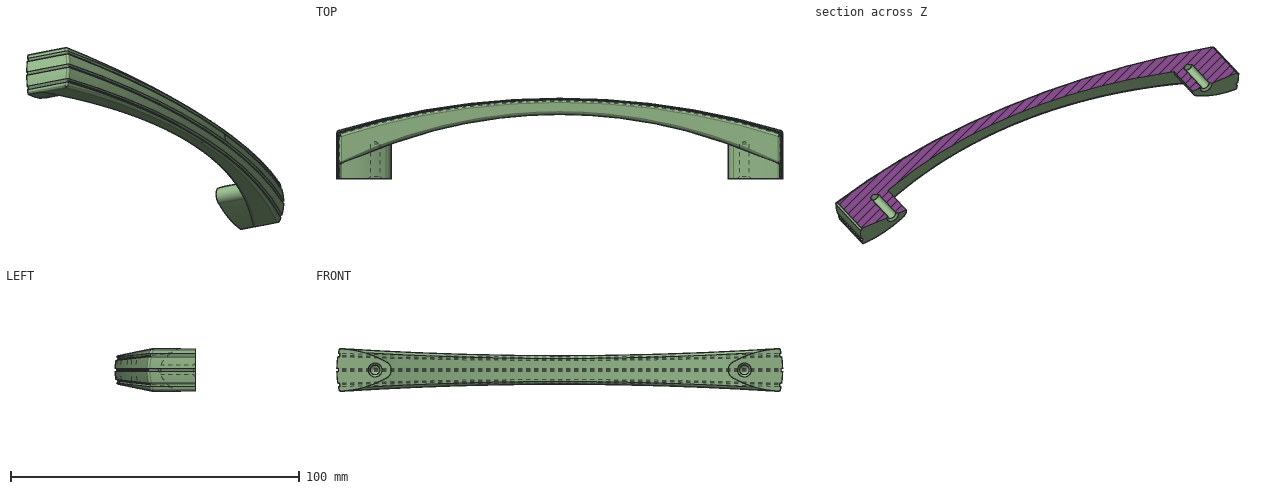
import cadquery as cq
import math

LENGTH = 154.64
DEPTH = 27.97
END_HEIGHT = 14.89
MID_HEIGHT = 10.0
FULL_HEIGHT_X = 75.7

OUTER_END_Y = 16.6
MID_THICKNESS = 5.7
INNER_END_Y = 4.0
BOW_CROWN_RADIUS = 18.0
END_CROWN_RADIUS = 30.0
EDGE_RADIUS = 1.0
END_CORNER_RADIUS = 0.8

GROOVE_WIDTH = 1.2
GROOVE_DEPTH = 0.6
GROOVE_BOTTOM_RADIUS = 0.5
SIDE_GROOVE_END_Z = 5.2
SIDE_GROOVE_MID_Z = 3.9

FOOT_NOSE_X = 58.4
FOOT_TANGENT_X = 60.3
FOOT_TANGENT_Z = 2.9
FOOT_FLANK_X = 67.0
FOOT_FLANK_Z = 5.8
FOOT_ROOT_X = 75.6
FOOT_ROOT_Z = 7.3

HOLE_SPACING = 128.0
HOLE_DIAMETER = 3.3
HOLE_MOUTH_DIAMETER = 4.8
HOLE_DEPTH = 12.0
DRILL_POINT_ANGLE = 118.0

MARGIN = 5.0

HALF_LENGTH = LENGTH / 2
INNER_MID_Y = DEPTH - MID_THICKNESS


def arc_radius(half_chord, rise):
    """Radius of an arc with the given half chord and rise."""
    return (half_chord**2 + rise**2) / (2 * rise)


def arc_drop(radius, half_chord):
    """Distance an arc falls away from its apex over the half chord."""
    return radius - math.sqrt(radius**2 - half_chord**2)


def along_y(outline):
    """Extrude an outline drawn in X, Z from the foot plane past the outer face."""
    return outline.extrude(-(DEPTH + MARGIN))


def crowned_bow(inset):
    """Drum around the bow's axis with a crowned rim, giving the outer face."""
    radius = arc_radius(HALF_LENGTH, DEPTH - OUTER_END_Y)
    rim = radius - inset
    half_height = END_HEIGHT / 2 + MARGIN
    crown_drop = arc_drop(BOW_CROWN_RADIUS, half_height)
    profile = (
        cq.Workplane("XZ")
        .moveTo(0, -half_height)
        .lineTo(rim - crown_drop, -half_height)
        .threePointArc((rim, 0), (rim - crown_drop, half_height))
        .lineTo(0, half_height)
        .close()
    )
    drum = profile.revolve(360, (0, 0, 0), (0, 1, 0))
    return drum.rotate((0, 0, 0), (0, 0, 1), -90).translate((0, DEPTH - radius, 0))


def crowned_ends(inset):
    """Block along Y whose two end faces are crowned."""
    tip = HALF_LENGTH - inset
    half_height = END_HEIGHT / 2 + MARGIN
    crown_drop = arc_drop(END_CROWN_RADIUS, half_height)
    corner = tip - crown_drop
    outline = (
        cq.Workplane("XZ")
        .moveTo(-corner, -half_height)
        .lineTo(corner, -half_height)
        .threePointArc((tip, 0), (corner, half_height))
        .lineTo(-corner, half_height)
        .threePointArc((-tip, 0), (-corner, -half_height))
        .close()
    )
    return along_y(outline)


def is_end_corner(edge):
    """True for the two edges where the end faces meet the outer face."""
    middle = edge.positionAt(0.5)
    return abs(middle.z) < MARGIN and middle.y > INNER_END_Y


def outer_envelope(inset=0.0):
    """Everything behind the outer face and between the end faces, their meeting edges rounded."""
    shape = crowned_ends(inset).intersect(crowned_bow(inset))
    corners = [edge for edge in shape.edges().vals() if is_end_corner(edge)]
    return shape.newObject(corners).fillet(EDGE_RADIUS - inset)


def waisted_slab():
    """Top and bottom faces, waisted toward the middle and running past both ends."""
    end_z = END_HEIGHT / 2
    mid_z = MID_HEIGHT / 2
    reach = HALF_LENGTH + MARGIN
    radius = arc_radius(FULL_HEIGHT_X, end_z - mid_z)
    reach_z = mid_z + arc_drop(radius, reach)
    outline = (
        cq.Workplane("XZ")
        .moveTo(-reach, -reach_z)
        .threePointArc((0, -mid_z), (reach, -reach_z))
        .lineTo(reach, reach_z)
        .threePointArc((0, mid_z), (-reach, reach_z))
        .close()
    )
    return along_y(outline)


def round_long_edges(shape, y):
    """Round the pair of lengthwise edges that pass nearest to Y = y at mid length."""
    edges = []
    for z in (-MID_HEIGHT / 2, MID_HEIGHT / 2):
        vertex = cq.Vertex.makeVertex(0, y, z)
        edges.append(min(shape.edges().vals(), key=vertex.distance))
    return shape.newObject(edges).fillet(EDGE_RADIUS)


def rounded_ends():
    """Waisted block with crowned ends and rounded end corners."""
    return crowned_ends(0).intersect(waisted_slab()).edges("|Y").fillet(END_CORNER_RADIUS)


def right_half_space():
    """Box that keeps the +X side of the part."""
    size = LENGTH + 2 * MARGIN
    return cq.Workplane("XY").box(size, size, size, centered=(False, True, True))


def rounded_bow():
    """Waisted solid behind the crowned outer face, with rounded outer edges."""
    crown_drop = arc_drop(BOW_CROWN_RADIUS, MID_HEIGHT / 2)
    return round_long_edges(waisted_slab().intersect(crowned_bow(0)), DEPTH - crown_drop)


def bar(bow):
    """Curved bar: the bow with the space behind the inner arc removed."""
    radius = arc_radius(HALF_LENGTH, INNER_MID_Y - INNER_END_Y)
    hollow = (
        cq.Workplane("XY")
        .center(0, INNER_MID_Y - radius)
        .circle(radius)
        .extrude(END_HEIGHT, both=True)
    )
    hollow = hollow.rotate((0, INNER_MID_Y - radius, 0), (0, INNER_MID_Y - radius, 1), -90)
    return round_long_edges(bow.cut(hollow), INNER_MID_Y)


def foot(bow):
    """Tapered foot at the +X end, reaching up into the bar."""
    outside_x = HALF_LENGTH + MARGIN
    outline = (
        cq.Workplane("XZ")
        .moveTo(outside_x, -FOOT_ROOT_Z)
        .lineTo(FOOT_ROOT_X, -FOOT_ROOT_Z)
        .threePointArc((FOOT_FLANK_X, -FOOT_FLANK_Z), (FOOT_TANGENT_X, -FOOT_TANGENT_Z))
        .threePointArc((FOOT_NOSE_X, 0), (FOOT_TANGENT_X, FOOT_TANGENT_Z))
        .threePointArc((FOOT_FLANK_X, FOOT_FLANK_Z), (FOOT_ROOT_X, FOOT_ROOT_Z))
        .lineTo(outside_x, FOOT_ROOT_Z)
        .close()
    )
    return along_y(outline).intersect(bow)


def groove_curtain(end_z, mid_z):
    """Thin wall along Y that follows one groove from end to end."""
    reach = HALF_LENGTH + MARGIN
    end_low, end_high = end_z - GROOVE_WIDTH / 2, end_z + GROOVE_WIDTH / 2
    mid_low, mid_high = mid_z - GROOVE_WIDTH / 2, mid_z + GROOVE_WIDTH / 2
    outline = cq.Workplane("XZ").moveTo(-reach, end_low)
    if end_z == mid_z:
        outline = outline.lineTo(reach, end_low).lineTo(reach, end_high)
    else:
        outline = (
            outline.lineTo(-HALF_LENGTH, end_low)
            .threePointArc((0, mid_low), (HALF_LENGTH, end_low))
            .lineTo(reach, end_low)
            .lineTo(reach, end_high)
            .lineTo(HALF_LENGTH, end_high)
            .threePointArc((0, mid_high), (-HALF_LENGTH, end_high))
        )
    return along_y(outline.lineTo(-reach, end_high).close())


def groove(core, end_z, mid_z):
    """Cutter for one groove, with a rounded bottom that follows the core."""
    cutter = groove_curtain(end_z, mid_z).cut(core)
    bottom_edges = []
    for edge in cutter.edges().vals():
        middle = edge.positionAt(0.5)
        crosses = abs(edge.startPoint().z - edge.endPoint().z) > GROOVE_WIDTH / 2
        if abs(middle.x) < HALF_LENGTH and 0 < middle.y < DEPTH and not crosses:
            bottom_edges.append(edge)
    return cutter.newObject(bottom_edges).fillet(GROOVE_BOTTOM_RADIUS)


def screw_hole(x):
    """Blind hole from the foot plane with a countersunk mouth and a drill point."""
    radius = HOLE_DIAMETER / 2
    point_length = radius / math.tan(math.radians(DRILL_POINT_ANGLE / 2))
    mouth_radius = HOLE_MOUTH_DIAMETER / 2
    profile = (
        cq.Workplane("XY")
        .moveTo(0, 0)
        .lineTo(mouth_radius, 0)
        .lineTo(radius, mouth_radius - radius)
        .lineTo(radius, HOLE_DEPTH)
        .lineTo(0, HOLE_DEPTH + point_length)
        .close()
    )
    return profile.revolve(360, (0, 0, 0), (0, 1, 0)).translate((x, 0, 0))


bow = rounded_bow()
half_trim = rounded_ends().intersect(outer_envelope()).intersect(right_half_space())
half = bar(bow).intersect(half_trim).union(foot(bow).intersect(half_trim))

groove_core = outer_envelope(GROOVE_DEPTH)
for end_z, mid_z in (
    (0, 0),
    (SIDE_GROOVE_END_Z, SIDE_GROOVE_MID_Z),
    (-SIDE_GROOVE_END_Z, -SIDE_GROOVE_MID_Z),
):
    half = half.cut(groove(groove_core, end_z, mid_z))

half = half.cut(screw_hole(HOLE_SPACING / 2))
result = half.union(half.mirror("YZ"))